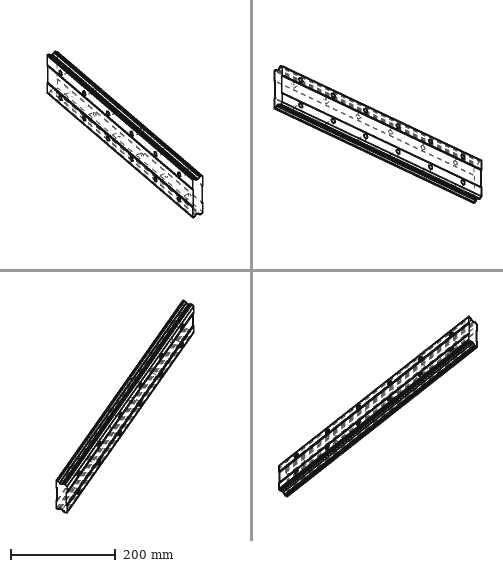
import cadquery as cq

length = 490.0
thickness = 24.0
height = 90.0

channel_mouth_height = 41.5
channel_floor_height = 40.5
channel_depth = 1.5

hole_diameter = 9.0
hole_pitch = 80.0
holes_per_row = 6
row_spacing = 60.0

ridge_back = 4.5
ridge_front = 7.5
ledge_front = 10.5
groove_back = 12.0
groove_front = 16.5
lip_back = 20.5

shoulder_depth = 3.0
ridge_foot_depth = 1.5
ledge_depth = 3.5
groove_depth = 4.5
groove_wall_top = 2.5
lip_chamfer = 1.0

back = thickness / 2
front = -back
crest = height / 2
mouth_top = channel_mouth_height / 2
floor_top = channel_floor_height / 2


def upper_half_outline():
    """Points (y, z) of the upper half section, from back channel to front channel."""
    return [
        (back - channel_depth, floor_top),
        (back, mouth_top),
        (back, crest - shoulder_depth),
        (back - ridge_back, crest),
        (back - ridge_front, crest),
        (back - ridge_front, crest - ridge_foot_depth),
        (back - ledge_front, crest - ledge_depth),
        (back - groove_back, crest - groove_depth),
        (back - groove_front, crest - groove_depth),
        (back - groove_front, crest - groove_wall_top),
        (back - lip_back, crest),
        (front + lip_chamfer, crest),
        (front, crest - lip_chamfer),
        (front, mouth_top),
        (front + channel_depth, floor_top),
    ]


def rail_body():
    """Extrude the section, mirrored top to bottom, along the rail."""
    upper = upper_half_outline()
    lower = [(y, -z) for y, z in reversed(upper)]
    section = cq.Workplane("YZ").polyline(upper + lower).close()
    return section.extrude(length / 2, both=True)


def bolt_holes():
    """Cylinders for both rows of holes, running through the thickness."""
    return (
        cq.Workplane("XZ")
        .rarray(hole_pitch, row_spacing, holes_per_row, 2)
        .circle(hole_diameter / 2)
        .extrude(thickness, both=True)
    )


result = rail_body().cut(bolt_holes())